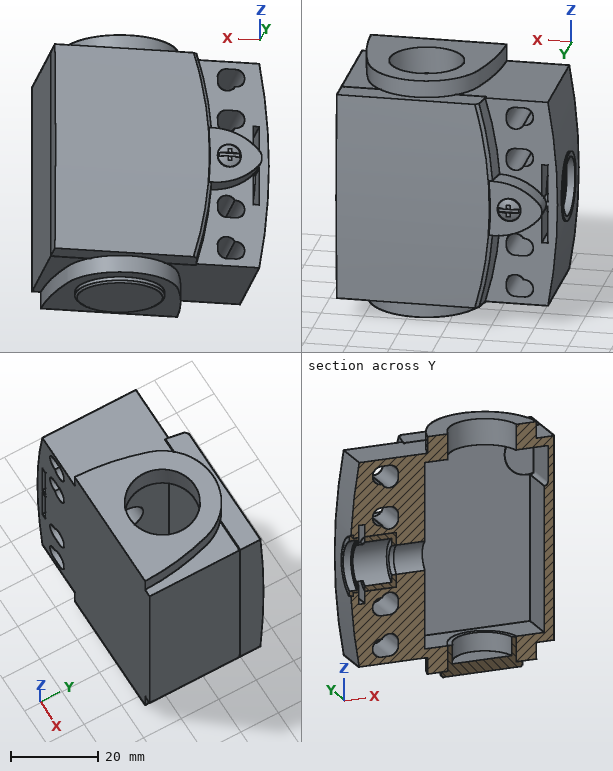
import cadquery as cq
import math


half_height = 24.95
right_x = 17.95
left_corner_x = -30.6
left_apex_x = -32.85
housing_depth = 24.95
seat_y = 24.0

block_half_width = 15.95
block_end_z = 29.0
block_crown_radius = 13.6
block_shoulder_y = 18.15
port_y = 14.0
port_radius = 8.65

cavity_left_x = -14.25
cavity_right_x = 15.4
cavity_back_y = 2.4
cavity_half_height = 22.65

wall_pocket_x = 16.35
wall_pocket_low_z = 13.05
wall_pocket_rounding = 0.9

recess_x = 14.75
recess_z = 18.6
recess_radius = 5.6
recess_depth = 0.25

hole_radius = 2.15
hole_x = -25.0
hole_side_shift = 2.0
hole_inward_shift = 1.05
hole_heights = (11.0, 21.05)

window_left_x = -30.6
window_right_x = -29.2
window_inner_z = 0.55
window_outer_z = 10.7
window_narrow_z = 9.55

bushing_y = 12.45
flange_face_x = -33.05
flange_back_x = -32.15
flange_radius = 8.05
bushing_radius = 7.35
bushing_end_x = -21.35
bushing_floor = 1.2
entry_radius = 6.9
entry_depth = 1.9
bore_radius = 6.2
bore_chamfer = 0.25
floor_hole_radius = 4.8
notch_inner_z = 4.45

gasket_thickness = 0.2
gasket_inset = 0.65

cover_back_y = seat_y + gasket_thickness
cover_crown_y = 30.4
cover_end_y = 29.6
cover_left_corner_x = -15.9
cover_left_apex_x = -19.55
cover_draft_shift = 0.9
cover_chamfer = 0.7

tab_back_y = 25.15
tab_top_y = 30.25
tab_inner_x = -16.6
tab_root_x = -19
tab_root_half = 6.65
tab_neck_x = -29.55
tab_neck_half = 1.9

screw_x = -22.6
head_radius = 2.7
head_height = 1.25
head_rim_height = 0.3
shank_radius = 1.5
shank_end_y = 21.35
drive_width = 0.9
drive_depth = 0.7
cross_depth = 0.25

plug_flange_radius = 10.3
plug_flange_height = 1.3
plug_chamfer = 0.5
plug_bore_radius = 7.55
plug_floor = 1.8


def sketch_xz(y):
    """Sketch in the X-Z plane at the given depth; extruding by a negative length goes towards +Y."""
    return cq.Workplane(cq.Plane(origin=(0, y, 0), xDir=(1, 0, 0), normal=(0, -1, 0)))


def box_between(x0, x1, y0, y1, z0, z1):
    """Box between two limits along each axis; the Z limits may come in either order."""
    middle = ((x0 + x1) / 2, (y0 + y1) / 2, (z0 + z1) / 2)
    return cq.Workplane("XY").box(x1 - x0, y1 - y0, abs(z1 - z0)).translate(middle)


def x_cylinder(radius, x0, x1):
    """Cylinder on the bushing axis."""
    return cq.Workplane("YZ", origin=(x0, bushing_y, 0)).circle(radius).extrude(x1 - x0)


def y_cylinder(radius, x, z, y0, y1):
    return sketch_xz(y0).center(x, z).circle(radius).extrude(y0 - y1)


def z_cylinder(radius, z0, z1):
    """Cylinder on the conduit port axis."""
    return cq.Workplane("XY", origin=(0, port_y, z0)).circle(radius).extrude(z1 - z0)


def bulged_outline(y, corner_x, apex_x, end_x=right_x):
    """Closed outline with an arched left side and three straight sides."""
    return (
        sketch_xz(y)
        .moveTo(end_x, -half_height)
        .lineTo(corner_x, -half_height)
        .threePointArc((apex_x, 0), (corner_x, half_height))
        .lineTo(end_x, half_height)
        .close()
    )


def cover_outline(y, shift=0.0, inset=0.0):
    return bulged_outline(y, cover_left_corner_x + shift, cover_left_apex_x + shift, right_x - inset)


def port_blocks():
    """Arched block running through the whole height, without the part that the cover takes up."""
    crown_y = port_y + block_crown_radius
    shoulder_angle = math.asin((block_shoulder_y - port_y) / block_crown_radius)
    middle_angle = (shoulder_angle + math.pi / 2) / 2

    def crown_point(angle):
        return block_crown_radius * math.cos(angle), port_y + block_crown_radius * math.sin(angle)

    right_half = (
        cq.Workplane("XY", origin=(0, 0, -block_end_z))
        .moveTo(0, crown_y)
        .threePointArc(crown_point(middle_angle), crown_point(shoulder_angle))
        .tangentArcPoint((block_half_width, 0), relative=False)
        .lineTo(0, 0)
        .close()
        .extrude(2 * block_end_z)
    )
    above_seat = box_between(-block_half_width, block_half_width, seat_y, crown_y, -half_height, half_height)
    return right_half.union(right_half.mirror("YZ")).cut(above_seat)


def mounting_hole(z, inward):
    """L-shaped through hole; inward is +1 or -1, the Z direction of the leg towards the middle."""
    across = (
        sketch_xz(0)
        .center(hole_x + hole_side_shift / 2, z)
        .slot2D(hole_side_shift + 2 * hole_radius, 2 * hole_radius)
        .extrude(-housing_depth)
    )
    along = (
        sketch_xz(0)
        .center(hole_x + hole_side_shift, z + inward * hole_inward_shift / 2)
        .slot2D(hole_inward_shift + 2 * hole_radius, 2 * hole_radius, 90)
        .extrude(-housing_depth)
    )
    return across.union(along)


def clip_window(side):
    """Stepped window above (+1) or below (-1) the middle, narrower behind the bushing axis."""
    inner_z = side * window_inner_z
    wide_step = box_between(
        window_left_x, window_right_x, 0, bushing_y, inner_z, side * window_outer_z
    )
    narrow_step = box_between(
        window_left_x, window_right_x, 0, housing_depth, inner_z, side * window_narrow_z
    )
    return wide_step.union(narrow_step)


def cavity():
    main_space = box_between(
        cavity_left_x, cavity_right_x, cavity_back_y, cover_back_y, -cavity_half_height, cavity_half_height
    )
    wall_pocket = box_between(
        0, wall_pocket_x, cavity_back_y, cover_back_y, wall_pocket_low_z, cavity_half_height
    )
    wall_pocket = wall_pocket.faces("<Z").edges(">X").fillet(wall_pocket_rounding)
    return main_space.union(wall_pocket)


def cover_underside_recess():
    """Round recess, cut off flush with the wall pocket so that it stays inside the housing wall."""
    end_y = cover_back_y + recess_depth
    disc = y_cylinder(recess_radius, recess_x, recess_z, cover_back_y, end_y)
    limits = box_between(0, wall_pocket_x, cover_back_y, end_y, -cavity_half_height, cavity_half_height)
    return disc.intersect(limits)


def cover_seat():
    """Space in the housing for the gasket and the foot of the cover."""
    return cover_outline(seat_y).extrude(seat_y - housing_depth)


def bushing_envelope():
    flange = x_cylinder(flange_radius, flange_face_x, flange_back_x)
    return flange.union(x_cylinder(bushing_radius, flange_face_x, bushing_end_x))


def screw_shank():
    return y_cylinder(shank_radius, screw_x, 0, shank_end_y, tab_top_y)


def make_housing():
    housing = bulged_outline(0, left_corner_x, left_apex_x).extrude(-housing_depth)
    housing = housing.cut(cover_seat()).union(port_blocks())
    housing = housing.cut(cavity())
    housing = housing.cut(z_cylinder(port_radius, -block_end_z, block_end_z))
    housing = housing.cut(bushing_envelope())
    housing = housing.cut(x_cylinder(floor_hole_radius, bushing_end_x, cavity_left_x))
    for side in (1, -1):
        housing = housing.cut(clip_window(side))
        for height in hole_heights:
            housing = housing.cut(mounting_hole(side * height, -side))
    return housing.cut(screw_shank())


def make_bushing():
    ledge_x = flange_face_x + entry_depth
    bore = x_cylinder(bore_radius, ledge_x, bushing_end_x - bushing_floor)
    bore_mouth = (
        cq.Workplane("YZ", origin=(ledge_x, bushing_y, 0))
        .circle(bore_radius + bore_chamfer)
        .extrude(bore_chamfer, taper=45)
    )
    bushing = bushing_envelope().cut(bore).cut(bore_mouth)
    bushing = bushing.cut(x_cylinder(entry_radius, flange_face_x, ledge_x))
    bushing = bushing.cut(x_cylinder(floor_hole_radius, flange_face_x, bushing_end_x))
    for side in (1, -1):
        notch = box_between(
            window_left_x, window_right_x, 0, housing_depth, side * notch_inner_z, side * flange_radius
        )
        bushing = bushing.cut(notch)
    return bushing


def make_gasket():
    gasket = cover_outline(seat_y, inset=gasket_inset).extrude(-gasket_thickness)
    return gasket.cut(cavity())


def cover_shell():
    """Upper part of the cover: leaning arched left wall under a roof that is arched along Z."""
    lower_wire = cover_outline(housing_depth).val()
    upper_wire = cover_outline(cover_crown_y, shift=cover_draft_shift).val()
    leaning_block = cq.Workplane(cq.Solid.makeLoft([lower_wire, upper_wire], True))
    under_roof = (
        cq.Workplane("YZ", origin=(cover_left_apex_x, 0, 0))
        .moveTo(cover_back_y, -half_height)
        .lineTo(cover_end_y, -half_height)
        .threePointArc((cover_crown_y, 0), (cover_end_y, half_height))
        .lineTo(cover_back_y, half_height)
        .close()
        .extrude(right_x - cover_left_apex_x)
    )
    shell = leaning_block.intersect(under_roof)
    return shell.faces(">Y").edges("<X").chamfer(cover_chamfer)


def screw_tab():
    """Tab with a rounded nose; its convex flanks run tangent into the nose."""
    return (
        sketch_xz(tab_back_y)
        .moveTo(tab_inner_x, tab_root_half)
        .lineTo(tab_root_x, tab_root_half)
        .tangentArcPoint((tab_neck_x, tab_neck_half), relative=False)
        .tangentArcPoint((tab_neck_x, -tab_neck_half), relative=False)
        .tangentArcPoint((tab_root_x, -tab_root_half), relative=False)
        .lineTo(tab_inner_x, -tab_root_half)
        .close()
        .extrude(tab_back_y - tab_top_y)
    )


def make_cover():
    foot = cover_outline(cover_back_y).extrude(cover_back_y - housing_depth)
    cover = foot.union(cover_shell()).union(screw_tab())
    return cover.cut(cover_underside_recess()).cut(screw_shank())


def make_screw():
    head_top_y = tab_top_y + head_height
    head = y_cylinder(head_radius, screw_x, 0, tab_top_y, head_top_y)
    cap_height = head_height - head_rim_height
    dome_radius = (head_radius**2 + cap_height**2) / (2 * cap_height)
    dome = cq.Workplane("XY").sphere(dome_radius).translate((screw_x, head_top_y - dome_radius, 0))
    head = head.intersect(dome)
    half_width = drive_width / 2
    drive_floor_y = head_top_y - drive_depth
    cross_floor_y = head_top_y - cross_depth
    drive = box_between(
        screw_x - head_radius, screw_x + head_radius, drive_floor_y, head_top_y, -half_width, half_width
    )
    cross = box_between(
        screw_x - half_width, screw_x + half_width, cross_floor_y, head_top_y, -head_radius, head_radius
    )
    return head.union(screw_shank()).cut(drive).cut(cross)


def make_plug():
    flange = z_cylinder(plug_flange_radius, -block_end_z - plug_flange_height, -block_end_z)
    flange = flange.faces("<Z").edges().chamfer(plug_chamfer)
    plug = flange.union(z_cylinder(port_radius, -block_end_z, -cavity_half_height))
    return plug.cut(z_cylinder(plug_bore_radius, -block_end_z + plug_floor, -cavity_half_height))


housing = make_housing()
bushing = make_bushing()
gasket = make_gasket()
cover = make_cover()
screw = make_screw()
plug = make_plug()

bodies = (housing, bushing, gasket, cover, screw, plug)

result = cq.Compound.makeCompound([body.solids().val() for body in bodies])